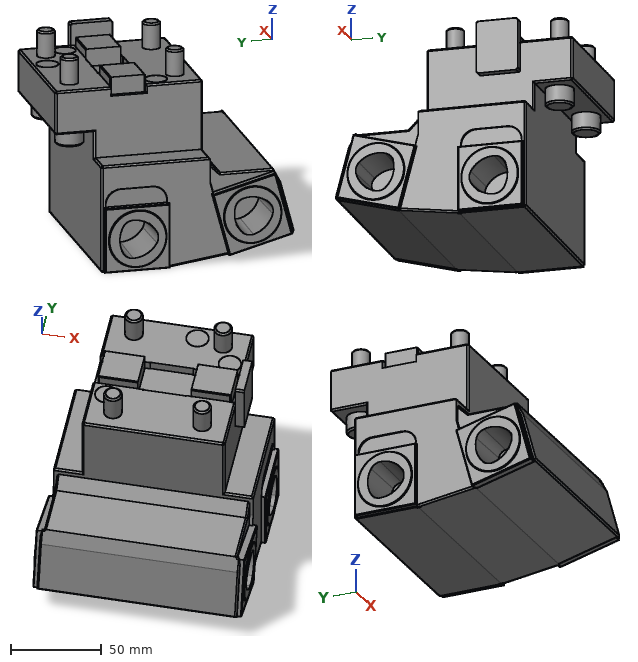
import cadquery as cq
import math


BLOCK_WIDTH = 80.0
BLOCK_DEPTH = 84.0
BLOCK_TOP = 101.5
OVERHANG_BOTTOM = 76.5
EDGE_CHAMFER = 1.0
BLOCK_BACK = BLOCK_DEPTH / 2
BLOCK_FRONT = -BLOCK_DEPTH / 2

BODY_WIDTH = 112.0
BODY_BACK = 20.0
SHOULDER_TOP = 61.5

PLATE_SIZE = 37.0
PLATE_OUTER_X = 58.5
PLATE_CHAMFER = 0.5
DISC_DIAMETER = 33.0
DISC_OUTER_X = 59.0
DISC_CHAMFER = 0.4
LEVEL_STATION = (0.0, 19.0)
TILTED_STATION = (-65.5, 27.5)
TILT = 15.0

SOCKET_WIDTH = 22.0
SOCKET_LOBE_REACH = 11.7
SOCKET_DEPTH = 28.0
SOCKET_TAPER = 1 / 20

WING_WIDTH = 108.0
WING_TOP = 51.5
WING_RAMP_TOP = 57.9
WING_BOTTOM_V = -18.7
BODY_SLANT_U = -17.5
NOSE_BACK_U = 18.5
NOSE_FRONT_U = 20.4
NOSE_BEVEL_V = 11.3
BASE_FRONT = -18.5

RECESS_WIDTH = 35.0
RECESS_TOP = 47.5
RECESS_RADIUS = 8.5
RECESS_DEPTH = 1.0

SLOT_DEPTH = 5.0
SLOT_WIDTH = 20.5
RELIEF_WIDTH = 21.0
RELIEF_LENGTH = 24.0
KEY_WIDTH = 20.0
KEY_HEIGHT = 10.0
KEY_INNER_X = 15.0
KEY_OUTER_X = 37.2
KEY_CHAMFER = 0.5

STOP_THICKNESS = 5.0
STOP_WIDTH = 24.0
STOP_HEIGHT = 30.0
STOP_TOP = 113.5

SCREW_DIAMETER = 10.0
SCREW_TOP = 116.5
SCREW_SPACING_X = 50.0
SCREW_SPACING_Y = 60.0
SCREW_CHAMFER = 1.0
HEAD_DIAMETER = 16.0
HEAD_HEIGHT = 10.0

SEAT_DIAMETER = 12.4
SEAT_DEPTH = 0.1
SEAT_CENTERS = [(10.0, 33.2), (31.2, 17.7), (-31.2, -17.7)]

SIDES = (-1, 1)
SCREW_CENTERS = [
    (side * SCREW_SPACING_X / 2, end * SCREW_SPACING_Y / 2) for side in SIDES for end in SIDES
]


def box(x_range, y_range, z_range):
    """Box between the given limits."""
    size = [high - low for low, high in (x_range, y_range, z_range)]
    origin = (x_range[0], y_range[0], z_range[0])
    return cq.Workplane("XY").box(*size, centered=False).translate(origin)


def symmetric(length):
    """Range of the given length about zero."""
    return (-length / 2, length / 2)


def extrude_profile(points, width):
    """Extrude a (Y, Z) outline symmetrically about X = 0."""
    return cq.Workplane("YZ").polyline(points).close().extrude(width / 2, both=True)


def nearest_to(point):
    """Selector of the item closest to a (Y, Z) point on the symmetry plane."""
    return cq.selectors.NearestToPointSelector((0, *point))


def tilted(u, v):
    """(Y, Z) of a point u forward and v upward in the tilted station's frame."""
    cosine = math.cos(math.radians(TILT))
    sine = math.sin(math.radians(TILT))
    y = TILTED_STATION[0] - u * cosine + v * sine
    z = TILTED_STATION[1] + u * sine + v * cosine
    return (y, z)


def tilted_v_at_y(u, y):
    """v of the point where the line of constant u reaches the given Y."""
    return (y - tilted(u, 0)[0]) / math.sin(math.radians(TILT))


def tilted_v_at_z(u, z):
    """v of the point where the line of constant u reaches the given Z."""
    return (z - tilted(u, 0)[1]) / math.cos(math.radians(TILT))


def make_block():
    """Mounting block with a rear overhang, round seats and the key slot."""
    outline = [
        (BLOCK_BACK, BLOCK_TOP),
        (BLOCK_BACK, OVERHANG_BOTTOM),
        (BODY_BACK, OVERHANG_BOTTOM),
        (BODY_BACK, WING_TOP),
        (BLOCK_FRONT, WING_TOP),
        (BLOCK_FRONT, BLOCK_TOP),
    ]
    block = extrude_profile(outline, BLOCK_WIDTH)
    block = block.edges("|Z or |Y or >Z or >Y").chamfer(EDGE_CHAMFER)
    for x, y in SEAT_CENTERS:
        seat = (
            cq.Workplane("XY", origin=(x, y, BLOCK_TOP))
            .circle(SEAT_DIAMETER / 2)
            .extrude(-SEAT_DEPTH)
        )
        block = block.cut(seat)
    return block.cut(make_slot())


def make_slot():
    """Key slot across the block, slightly wider between the keys."""
    z_range = (BLOCK_TOP - SLOT_DEPTH, BLOCK_TOP)
    slot = box(symmetric(BLOCK_WIDTH), symmetric(SLOT_WIDTH), z_range)
    relief = box(symmetric(RELIEF_LENGTH), symmetric(RELIEF_WIDTH), z_range)
    return slot.union(relief)


def make_body():
    """Main body with shoulders beside the block and a recess in each side."""
    outline = [
        (BODY_BACK, 0),
        (BODY_BACK, SHOULDER_TOP),
        (BLOCK_FRONT, SHOULDER_TOP),
        tilted(BODY_SLANT_U, tilted_v_at_y(BODY_SLANT_U, BLOCK_FRONT)),
        tilted(BODY_SLANT_U, WING_BOTTOM_V),
        (BASE_FRONT, 0),
    ]
    body = extrude_profile(outline, BODY_WIDTH)
    flat_edges = body.faces(">Z or >Y or <Z").edges()
    underside = body.faces(nearest_to((2 * BASE_FRONT, 0)))
    body = flat_edges.add(underside.edges("<X or >X")).chamfer(EDGE_CHAMFER)
    for side in SIDES:
        body = body.cut(make_recess(side))
    return body


def make_recess(side):
    """Shallow arched recess in one body side, reaching down behind the level plate."""
    depth_range = (BODY_WIDTH / 2 - RECESS_DEPTH, BODY_WIDTH / 2)
    recess = box(depth_range, symmetric(RECESS_WIDTH), (LEVEL_STATION[1], RECESS_TOP))
    recess = recess.edges("|X and >Z").fillet(RECESS_RADIUS)
    return recess if side > 0 else recess.mirror("YZ")


def make_wing():
    """Narrower front wing behind the nose, running back into the body."""
    ramp_run = WING_RAMP_TOP - WING_TOP
    outline = [
        (0, WING_RAMP_TOP),
        (BLOCK_FRONT, WING_RAMP_TOP),
        (BLOCK_FRONT - ramp_run, WING_TOP),
        tilted(NOSE_BACK_U, tilted_v_at_z(NOSE_BACK_U, WING_TOP)),
        tilted(NOSE_BACK_U, WING_BOTTOM_V),
        tilted(BODY_SLANT_U, WING_BOTTOM_V),
        (BASE_FRONT, 0),
        (0, 0),
    ]
    wing = extrude_profile(outline, WING_WIDTH)
    upper_faces = cq.selectors.BoxSelector(
        (-BODY_WIDTH, BLOCK_FRONT - EDGE_CHAMFER, WING_TOP - EDGE_CHAMFER),
        (BODY_WIDTH, -BLOCK_DEPTH, WING_RAMP_TOP),
    )
    return wing.faces(upper_faces).edges("<X or >X").chamfer(EDGE_CHAMFER)


def make_nose():
    """Plate across the front of the wing, with a bevelled upper edge."""
    outline = [
        tilted(NOSE_BACK_U, WING_BOTTOM_V),
        tilted(NOSE_FRONT_U, WING_BOTTOM_V),
        tilted(NOSE_FRONT_U, NOSE_BEVEL_V),
        tilted(NOSE_BACK_U, tilted_v_at_z(NOSE_BACK_U, WING_TOP)),
    ]
    nose = extrude_profile(outline, BODY_WIDTH)
    front = nose.faces(nearest_to(tilted(2 * NOSE_FRONT_U, 0)))
    bevel = nose.faces(nearest_to(tilted(2 * NOSE_FRONT_U, 2 * NOSE_FRONT_U)))
    edges = front.edges("<X or >X or <Z").add(bevel.edges("<X or >X"))
    return edges.chamfer(EDGE_CHAMFER)


def make_station(center, angle):
    """Square plate and round disc on the -X side, facing -X."""
    plate_inner = WING_WIDTH / 2
    plate = (
        cq.Workplane("YZ", origin=(-PLATE_OUTER_X, 0, 0))
        .rect(PLATE_SIZE, PLATE_SIZE)
        .extrude(PLATE_OUTER_X - plate_inner)
        .faces("<X")
        .chamfer(PLATE_CHAMFER)
    )
    disc = (
        cq.Workplane("YZ", origin=(-DISC_OUTER_X, 0, 0))
        .circle(DISC_DIAMETER / 2)
        .extrude(DISC_OUTER_X - plate_inner)
        .faces("<X")
        .chamfer(DISC_CHAMFER)
    )
    return place(plate.union(disc), center, angle)


def place(shape, center, angle):
    """Tilt a shape about X and move it to a station centre."""
    return shape.rotate((0, 0, 0), (1, 0, 0), angle).translate((0, *center))


def make_socket(center, angle):
    """Tapered three-lobed blind bore entering from the -X side, one lobe toward -Y."""
    lobe_offset = (2 * SOCKET_LOBE_REACH - SOCKET_WIDTH) / (2 - math.sqrt(3))
    lobe_radius = SOCKET_LOBE_REACH - lobe_offset
    side_reach = SOCKET_WIDTH - SOCKET_LOBE_REACH
    half_arc = math.pi / 6
    lobe_pitch = 2 * math.pi / 3

    def polar(radius, direction):
        return (radius * math.cos(direction), radius * math.sin(direction))

    def lobe_point(lobe, swing):
        direction = math.pi + lobe * lobe_pitch
        center_y, center_z = polar(lobe_offset, direction)
        arm_y, arm_z = polar(lobe_radius, direction + swing)
        return (center_y + arm_y, center_z + arm_z)

    outline = cq.Workplane("YZ", origin=(-DISC_OUTER_X, 0, 0)).moveTo(*lobe_point(0, -half_arc))
    for lobe in range(3):
        side_middle = polar(side_reach, math.pi + (lobe + 0.5) * lobe_pitch)
        outline = outline.threePointArc(lobe_point(lobe, 0), lobe_point(lobe, half_arc))
        outline = outline.threePointArc(side_middle, lobe_point(lobe + 1, -half_arc))
    taper = math.degrees(math.atan(SOCKET_TAPER / 2))
    return place(outline.close().extrude(SOCKET_DEPTH, taper=taper), center, angle)


def make_key():
    """Key at the +X end of the slot."""
    z_low = BLOCK_TOP - SLOT_DEPTH
    key = box((KEY_INNER_X, KEY_OUTER_X), symmetric(KEY_WIDTH), (z_low, z_low + KEY_HEIGHT))
    return key.edges("(>Z and |X) or (>X and |Z)").chamfer(KEY_CHAMFER)


def make_stop():
    """Stop plate on the +X face of the block."""
    x_face = BLOCK_WIDTH / 2
    z_range = (STOP_TOP - STOP_HEIGHT, STOP_TOP)
    stop = box((x_face, x_face + STOP_THICKNESS), symmetric(STOP_WIDTH), z_range)
    return stop.edges("|X").chamfer(EDGE_CHAMFER)


def make_screw(x, y):
    """Screw shank through the block, standing above its top."""
    return (
        cq.Workplane("XY", origin=(x, y, OVERHANG_BOTTOM))
        .circle(SCREW_DIAMETER / 2)
        .extrude(SCREW_TOP - OVERHANG_BOTTOM)
        .faces(">Z")
        .chamfer(SCREW_CHAMFER)
    )


def make_head(x, y):
    """Screw head under the overhang."""
    return (
        cq.Workplane("XY", origin=(x, y, OVERHANG_BOTTOM))
        .circle(HEAD_DIAMETER / 2)
        .extrude(-HEAD_HEIGHT)
        .faces("<Z")
        .chamfer(EDGE_CHAMFER)
    )


result = make_block().union(make_body()).union(make_wing()).union(make_nose())

key = make_key()
result = result.union(key).union(key.mirror("YZ")).union(make_stop())

for x, y in SCREW_CENTERS:
    result = result.union(make_screw(x, y))
    if y > BODY_BACK:
        result = result.union(make_head(x, y))

for center, angle in ((LEVEL_STATION, 0), (TILTED_STATION, -TILT)):
    station = make_station(center, angle)
    socket = make_socket(center, angle)
    result = result.union(station).union(station.mirror("YZ"))
    result = result.cut(socket).cut(socket.mirror("YZ"))